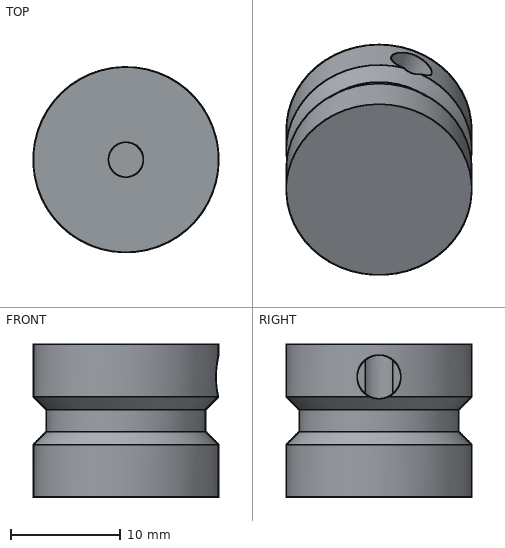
import cadquery as cq

outer_diameter = 17.0
neck_diameter = 14.62
total_height = 14.0
neck_height = 2.0

axial_hole_diameter = 3.2
axial_hole_depth = 10.2

cross_hole_diameter = 4.0
cross_hole_drop = 3.0
cross_hole_end_x = 1.0

outer_radius = outer_diameter / 2
neck_radius = neck_diameter / 2
taper_height = outer_radius - neck_radius
rim_height = (total_height - neck_height) / 2 - taper_height


def make_spool():
    """Two equal rims joined by a narrower neck with tapered flanks."""
    lower_neck_z = rim_height + taper_height
    upper_neck_z = lower_neck_z + neck_height
    half_profile = (
        cq.Workplane("XZ")
        .lineTo(outer_radius, 0)
        .lineTo(outer_radius, rim_height)
        .lineTo(neck_radius, lower_neck_z)
        .lineTo(neck_radius, upper_neck_z)
        .lineTo(outer_radius, total_height - rim_height)
        .lineTo(outer_radius, total_height)
        .lineTo(0, total_height)
        .close()
    )
    return half_profile.revolve(360, (0, 0, 0), (0, 1, 0))


def make_axial_hole():
    """Flat-bottomed cutter on the spool axis."""
    return (
        cq.Workplane("XY", origin=(0, 0, total_height))
        .circle(axial_hole_diameter / 2)
        .extrude(-axial_hole_depth)
    )


def make_cross_hole():
    """Flat-ended cutter running along X, from its inner end out past the rim."""
    return (
        cq.Workplane("YZ", origin=(cross_hole_end_x, 0, total_height - cross_hole_drop))
        .circle(cross_hole_diameter / 2)
        .extrude(outer_radius)
    )


result = make_spool().cut(make_axial_hole()).cut(make_cross_hole())